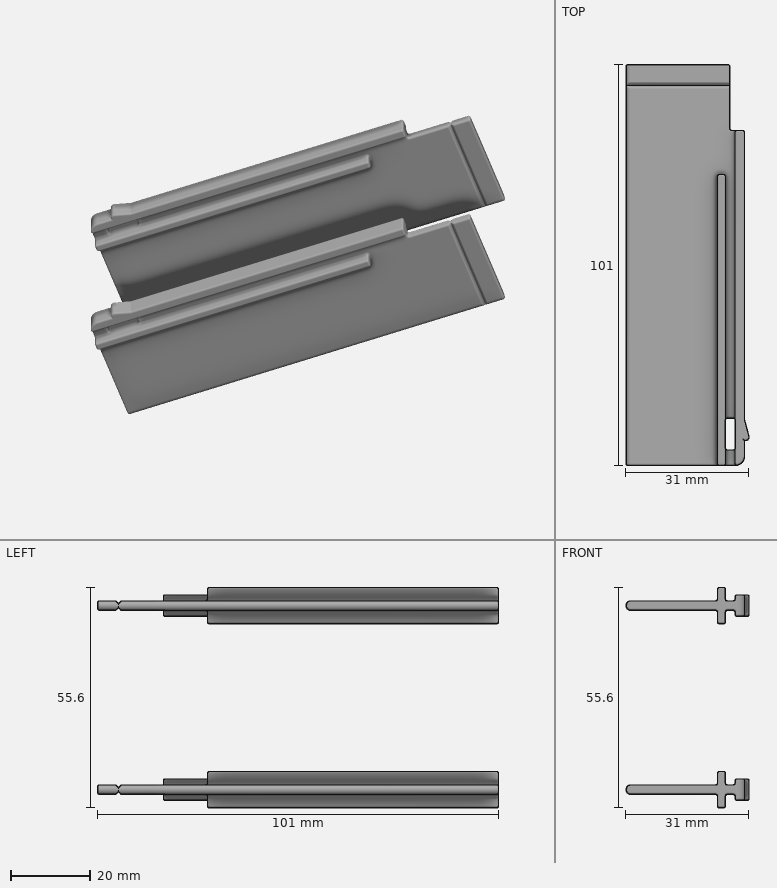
import cadquery as cq
import math

card_count = 2
card_pitch = 46.4
card_length = 101.0
edge_radius = 0.5

plate_thickness = 2.4
plate_half = plate_thickness / 2
plate_faces = (-plate_half, plate_half)
tail_right = 26.2

fin_left = 23.0
fin_width = 2.0
fin_right = fin_left + fin_width
fin_height = 9.2
fin_length = 73.3

rail_left = 27.5
rail_right = 29.9
rail_height = 5.5
rail_length = 84.4
rail_corner_radius = rail_right - rail_left

hook_tip = 31.0
hook_front = 6.3
hook_tip_radius = 0.9
hook_back = 11.5

slot_front = 3.9
slot_back = 11.9

groove_center = 95.7
groove_width = 1.4
groove_depth = groove_width / 2
groove_lip_radius = 0.3
groove_front = groove_center - groove_width / 2
groove_back = groove_center + groove_width / 2

far = 2 * card_length
near = 0.1


def around(x=None, y=None, z=None):
    """Select edges centered near the given coordinates; an omitted one is free."""
    spans = [
        (-far, far) if value is None else (value - near, value + near)
        for value in (x, y, z)
    ]
    return cq.selectors.BoxSelector(*zip(*spans))


def around_each(xs=(None,), ys=(None,), zs=(None,)):
    """Select the edges near any combination of the given coordinates."""
    spots = [around(x, y, z) for x in xs for y in ys for z in zs]
    selector = spots[0]
    for spot in spots[1:]:
        selector = selector + spot
    return selector


def centered_box(x_min, x_max, y_min, y_max, height):
    """Block centered on Z = 0."""
    block = cq.Workplane("XY").box(
        x_max - x_min, y_max - y_min, height, centered=(False, False, True)
    )
    return block.translate((x_min, y_min, 0))


def make_plate():
    """Plate with a full round along its left side and a narrower tail."""
    round_edge = (
        cq.Workplane("XZ")
        .center(plate_half, 0)
        .circle(plate_half)
        .extrude(-card_length)
    )
    front = centered_box(plate_half, rail_left, 0, rail_length, plate_thickness)
    tail = centered_box(plate_half, tail_right, 0, card_length, plate_thickness)
    return front.union(tail).union(round_edge)


def make_fin():
    fin = centered_box(fin_left, fin_right, 0, fin_length, fin_height)
    return fin.edges("|Z and >Y").fillet(edge_radius)


def make_rail():
    """Rail with a rounded front corner and a ramped hook on its outer side.

    The hook ramp is the tangent from its back point to the rounded tip.
    """
    tip_x = hook_tip - hook_tip_radius
    tip_y = hook_front + hook_tip_radius
    to_tip_x = tip_x - rail_right
    to_tip_y = hook_back - tip_y
    to_tip = math.hypot(to_tip_x, to_tip_y)
    ramp_angle = math.atan2(to_tip_x, to_tip_y) + math.asin(hook_tip_radius / to_tip)
    ramp_end = (
        tip_x + hook_tip_radius * math.cos(ramp_angle),
        tip_y + hook_tip_radius * math.sin(ramp_angle),
    )
    return (
        cq.Workplane("XY")
        .workplane(offset=-rail_height / 2)
        .moveTo(rail_left, 0)
        .radiusArc((rail_right, rail_corner_radius), -rail_corner_radius)
        .lineTo(rail_right, hook_front)
        .lineTo(tip_x, hook_front)
        .radiusArc(ramp_end, -hook_tip_radius)
        .lineTo(rail_right, hook_back)
        .lineTo(rail_right, rail_length)
        .lineTo(rail_left, rail_length)
        .close()
        .extrude(rail_height)
    )


def round_inner_corners(card):
    """Fillet the feet of fin and rail and the corner beside the tail."""
    feet = around_each(xs=(fin_left, fin_right, rail_left), zs=plate_faces)
    card = card.edges(feet).fillet(edge_radius)
    return card.edges("|Z").edges(around(x=tail_right, y=rail_length)).fillet(edge_radius)


def round_outer_edges(card):
    """Fillet the front, the ends and the rims of fin and rail in one step."""
    tangent_line = around(x=rail_left, y=0, z=0)
    ends = around_each(ys=(0, rail_length, card_length)) - tangent_line
    half_heights = (fin_height / 2, rail_height / 2)
    rims = around_each(zs=half_heights + tuple(-height for height in half_heights))
    return card.edges(ends + rims).fillet(edge_radius)


def make_slot():
    slot = centered_box(fin_right, rail_left, slot_front, slot_back, rail_height)
    return slot.edges("|Z").fillet(edge_radius)


def cut_slot(card):
    """Cut the slot and round the plate edges at both of its ends."""
    card = card.cut(make_slot())
    rims = around_each(ys=(slot_front, slot_back), zs=plate_faces)
    return card.edges(rims).fillet(edge_radius)


def make_groove(side):
    """V cutter in the upper (side = 1) or lower (side = -1) plate face."""
    face = side * plate_half
    return (
        cq.Workplane("YZ")
        .moveTo(groove_front, face)
        .lineTo(groove_center, face - side * groove_depth)
        .lineTo(groove_back, face)
        .close()
        .extrude(tail_right)
    )


def cut_grooves(card):
    """Cut both V grooves and round their lips."""
    card = card.cut(make_groove(1)).cut(make_groove(-1))
    lips = around_each(ys=(groove_front, groove_back), zs=plate_faces)
    return card.edges(lips).fillet(groove_lip_radius)


def make_card():
    card = make_plate().union(make_fin()).union(make_rail())
    card = round_inner_corners(card)
    card = round_outer_edges(card)
    card = cut_slot(card)
    return cut_grooves(card)


card = make_card()
cards = [
    card.translate((0, 0, index * card_pitch)).val()
    for index in range(card_count)
]
result = cq.Compound.makeCompound(cards)